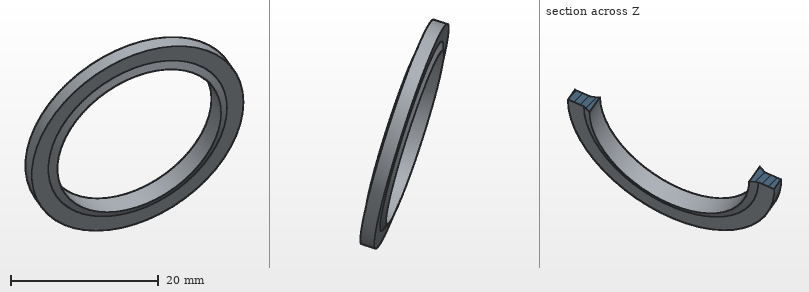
import cadquery as cq

outer_diameter = 32.0
bore_diameter = 24.7
lip_base_diameter = 27.0
flange_thickness = 2.0
overall_thickness = 3.0

outer_radius = outer_diameter / 2
bore_radius = bore_diameter / 2
lip_base_radius = lip_base_diameter / 2
flange_face_x = flange_thickness / 2
lip_edge_x = overall_thickness / 2


def ring_section():
    """Half section in the XY plane: flat flange with a conical lip at the bore on each face."""
    return (
        cq.Workplane("XY")
        .moveTo(-lip_edge_x, bore_radius)
        .lineTo(-flange_face_x, lip_base_radius)
        .lineTo(-flange_face_x, outer_radius)
        .lineTo(flange_face_x, outer_radius)
        .lineTo(flange_face_x, lip_base_radius)
        .lineTo(lip_edge_x, bore_radius)
        .close()
    )


result = ring_section().revolve(360, (0, 0, 0), (1, 0, 0))